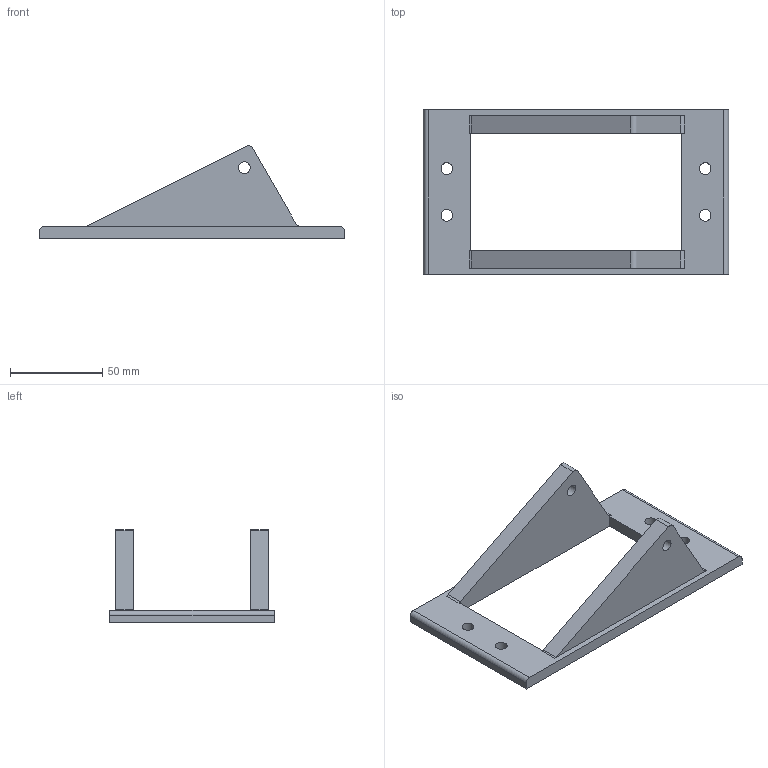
import cadquery as cq

INCH = 25.4

plate_length = 6.5 * INCH
plate_width = 3.5 * INCH
plate_thickness = 0.25 * INCH

side_plate_thickness = 0.375 * INCH
side_plate_margin = 0.125 * INCH
side_plate_base = 4.5 * INCH
apex_height = 1.75 * INCH
apex_from_left_foot = 3.5 * INCH

window_length = side_plate_base
side_plate_outer_y = plate_width / 2 - side_plate_margin
side_plate_inner_y = side_plate_outer_y - side_plate_thickness
window_width = 2 * side_plate_inner_y

edge_radius = 0.1 * INCH

hole_diameter = 0.25 * INCH
mounting_spacing_x = 5.5 * INCH
mounting_spacing_y = 1.0 * INCH
pivot_x = 1.113 * INCH
pivot_z = 1.5 * INCH


def make_base_plate():
    """Plate with its two upper end edges rounded."""
    plate = cq.Workplane("XY").box(
        plate_length, plate_width, plate_thickness, centered=(True, True, False)
    )
    return plate.faces(">Z").edges("|Y").fillet(edge_radius)


def make_side_plate(inner_y):
    """Triangular plate reaching from inner_y towards +Y by its thickness."""
    foot_x = side_plate_base / 2
    apex_x = apex_from_left_foot - foot_x
    apex_z = plate_thickness + apex_height
    return (
        cq.Workplane("XZ", origin=(0, inner_y, 0))
        .moveTo(-foot_x, plate_thickness)
        .lineTo(foot_x, plate_thickness)
        .lineTo(apex_x, apex_z)
        .close()
        .extrude(-side_plate_thickness)
        .edges("|Y and >Z")
        .fillet(edge_radius)
    )


def make_foot_fillet(inner_y, end):
    """Concave fillet between the base plate and a sloped edge; end is -1 or +1 along X."""
    foot_x = side_plate_base / 2
    apex_x = apex_from_left_foot - foot_x
    run = foot_x - end * apex_x
    slope_length = (run**2 + apex_height**2) ** 0.5
    cos_slope = run / slope_length
    sin_slope = apex_height / slope_length
    tangent_length = edge_radius * sin_slope / (1 + cos_slope)

    plate_tangent = (end * (foot_x + tangent_length), plate_thickness)
    slope_tangent = (
        end * (foot_x - tangent_length * cos_slope),
        plate_thickness + tangent_length * sin_slope,
    )
    corner = (end * foot_x, plate_thickness)
    under_slope = (slope_tangent[0], plate_thickness)
    centre = (plate_tangent[0], plate_thickness + edge_radius)
    centre_to_corner = (edge_radius**2 + tangent_length**2) ** 0.5
    arc_middle = tuple(
        c + (k - c) * edge_radius / centre_to_corner for c, k in zip(centre, corner)
    )
    return (
        cq.Workplane("XZ", origin=(0, inner_y, 0))
        .moveTo(*under_slope)
        .lineTo(*plate_tangent)
        .threePointArc(arc_middle, slope_tangent)
        .close()
        .extrude(-side_plate_thickness)
    )


def make_window():
    return cq.Workplane("XY").box(
        window_length, window_width, plate_thickness, centered=(True, True, False)
    )


def make_mounting_holes():
    return (
        cq.Workplane("XY")
        .rarray(mounting_spacing_x, mounting_spacing_y, 2, 2)
        .circle(hole_diameter / 2)
        .extrude(plate_thickness)
    )


def make_pivot_hole():
    return (
        cq.Workplane("XZ")
        .center(pivot_x, pivot_z)
        .circle(hole_diameter / 2)
        .extrude(plate_width / 2, both=True)
    )


result = make_base_plate().cut(make_window()).cut(make_mounting_holes())
for side_y in (-side_plate_outer_y, side_plate_inner_y):
    result = result.union(make_side_plate(side_y))
    for foot_end in (-1, 1):
        result = result.union(make_foot_fillet(side_y, foot_end))
result = result.cut(make_pivot_hole())